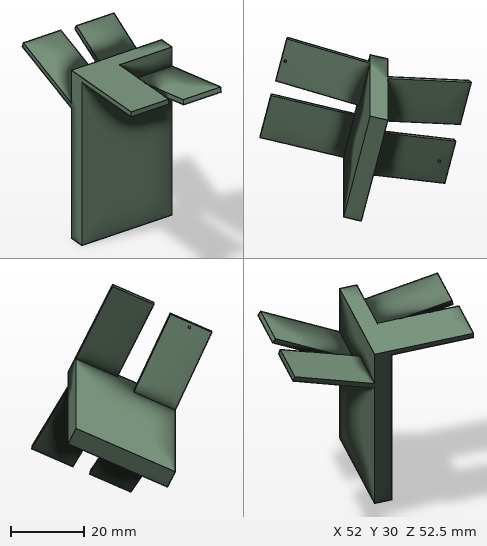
import cadquery as cq
import math

plate_height = 52.5
plate_width = 30.0
plate_thickness = 5.0

overall_length = 52.0
flap_width = 12.5
flap_thickness = 1.5
tip_drop = 3.35
flap_reach = (overall_length - plate_thickness) / 2
front_flap_y = -(plate_width - flap_width) / 2
back_flap_y = -front_flap_y

front_left_slope = 20
back_left_slope = 30
back_right_slope = 10

spike_diameter = 0.7
left_spike_height = 1.0
right_spike_height = 0.6
left_spike_setback = 3.35
right_spike_setback = 1.2


def sloping_flap(side, slope, center_y, spike_setback=None, spike_height=None):
    """Flap rising outward from the plate; side is -1 for the -X face and +1 for +X."""
    angle = math.radians(slope)
    tip_x = side * overall_length / 2
    tip_z = plate_height - tip_drop

    def place(inward, rise):
        """XZ point measured along and square to the underside from its tip edge."""
        x = tip_x - side * (inward * math.cos(angle) + rise * math.sin(angle))
        z = tip_z - inward * math.sin(angle) + rise * math.cos(angle)
        return x, z

    length = (overall_length / 2) / math.cos(angle)
    outline = [
        place(0, 0),
        place(length, 0),
        place(length, flap_thickness),
        place(0, flap_thickness),
    ]
    flap = (
        cq.Workplane("XZ", origin=(0, center_y, 0))
        .polyline(outline)
        .close()
        .extrude(flap_width / 2, both=True)
    )
    if spike_setback is None:
        return flap

    base_x, base_z = place(spike_setback, 0)
    point_direction = cq.Vector(side * math.sin(angle), 0, -math.cos(angle))
    spike = cq.Solid.makeCone(
        spike_diameter / 2, 0, spike_height, cq.Vector(base_x, center_y, base_z), point_direction
    )
    return flap.union(cq.Workplane(spike))


def level_flap():
    """Flat flap flush with the plate top, on the +X face."""
    return (
        cq.Workplane("XY")
        .box(flap_reach, flap_width, flap_thickness, centered=(False, True, False))
        .translate((plate_thickness / 2, front_flap_y, plate_height - flap_thickness))
    )


plate = cq.Workplane("XY").box(
    plate_thickness, plate_width, plate_height, centered=(True, True, False)
)
result = (
    plate
    .union(level_flap())
    .union(sloping_flap(-1, front_left_slope, front_flap_y, left_spike_setback, left_spike_height))
    .union(sloping_flap(-1, back_left_slope, back_flap_y))
    .union(sloping_flap(1, back_right_slope, back_flap_y, right_spike_setback, right_spike_height))
)